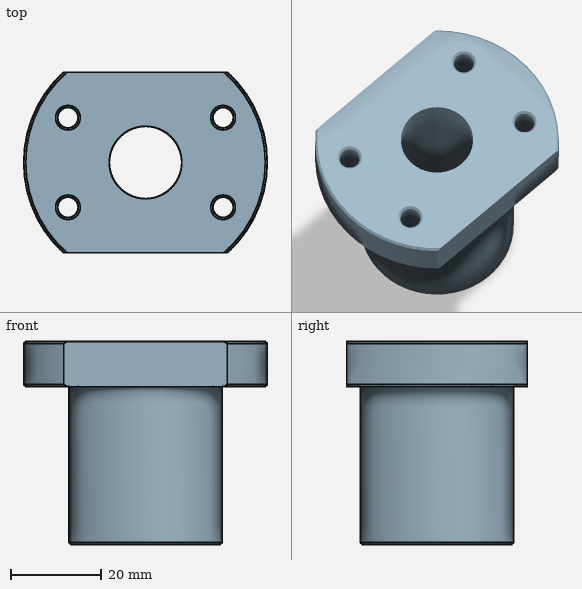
import cadquery as cq
import math

flange_diameter = 54.0
flange_width = 40.0
flange_thickness = 10.0
total_height = 45.0
body_diameter = 34.0
bore_diameter = 16.0
edge_chamfer = 0.5

bolt_circle_diameter = 39.7
bolt_angle = 30.0
hole_diameter = 4.5
hole_chamfer = 0.5

flange_bottom = total_height - flange_thickness


def make_flange():
    """Disc with chamfered rims, trimmed by two flats parallel to X."""
    disc = (
        cq.Workplane("XY", origin=(0, 0, flange_bottom))
        .circle(flange_diameter / 2)
        .extrude(flange_thickness)
        .edges()
        .chamfer(edge_chamfer)
    )
    trim = (
        cq.Workplane("XY", origin=(0, 0, flange_bottom))
        .rect(flange_diameter, flange_width)
        .extrude(flange_thickness)
    )
    return disc.intersect(trim)


def make_body():
    """Cylindrical sleeve with a chamfered lower end."""
    return (
        cq.Workplane("XY")
        .circle(body_diameter / 2)
        .extrude(total_height)
        .faces("<Z")
        .chamfer(edge_chamfer)
    )


def cut_mounting_holes(part):
    """Drill the flange and chamfer the upper hole mouths."""
    bolt_radius = bolt_circle_diameter / 2
    spacing_x = 2 * bolt_radius * math.cos(math.radians(bolt_angle))
    spacing_y = 2 * bolt_radius * math.sin(math.radians(bolt_angle))
    mouth_diameter = hole_diameter + 2 * hole_chamfer
    mouth_angle = 90.0
    return (
        part.faces(">Z")
        .workplane(origin=(0, 0, total_height))
        .rect(spacing_x, spacing_y, forConstruction=True)
        .vertices()
        .cskHole(hole_diameter, mouth_diameter, mouth_angle, flange_thickness)
    )


sleeve = make_flange().union(make_body())
bored = sleeve.faces(">Z").workplane(origin=(0, 0, total_height)).hole(bore_diameter)
result = cut_mounting_holes(bored)